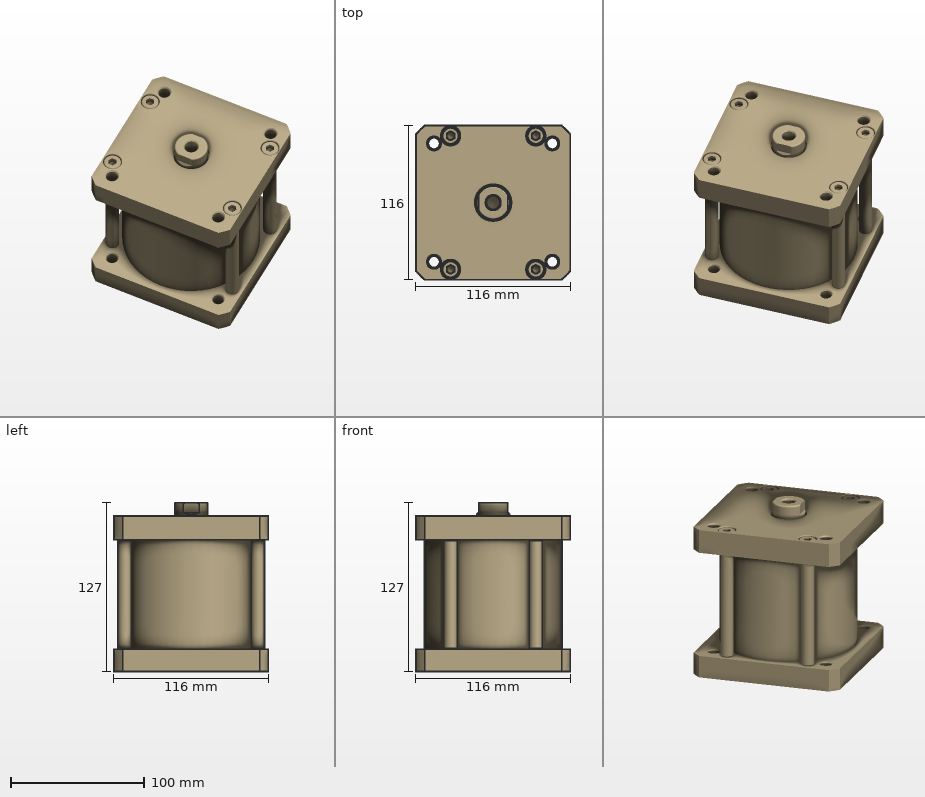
import cadquery as cq
import math

total_height = 127.0
top_plate_thickness = 18.0
bottom_plate_thickness = 17.0
rod_protrusion = 10.0
tube_bottom_z = bottom_plate_thickness
top_plate_top_z = total_height - rod_protrusion
tube_top_z = top_plate_top_z - top_plate_thickness
tube_length = tube_top_z - tube_bottom_z

plate_width = 116.0
plate_corner_diameter = 155.0

mounting_hole_offset = 44.5
bottom_hole_diameter = 8.5
bottom_hole_mouth_diameter = 10.0
top_hole_diameter = 8.9
top_hole_mouth_diameter = 10.7

tube_outer_diameter = 103.8
tube_bore_diameter = 100.0

rod_diameter = 25.0
rod_end_fillet = 1.3
rod_flat_width = 22.0
rod_flat_height = 7.5
rod_hole_diameter = 10.2
rod_hole_mouth_diameter = 11.7
rod_hole_depth = 20.0
rod_hole_point_angle = 160.0
rod_bore_diameter = 25.7
rod_recess_diameter = 26.9
rod_recess_mouth_diameter = 27.7
rod_recess_depth = 2.5

tie_rod_offset_x = 32.0
tie_rod_offset_y = 50.2
tie_rod_diameter = 10.0
tie_rod_end_chamfer = 0.6
shank_diameter = 8.4
stud_length = 10.2
head_diameter = 13.0
head_height = 8.0
head_chamfer = 0.5
head_recess = 0.5
counterbore_diameter = 14.0
counterbore_mouth_diameter = 14.7
socket_sides = 6
socket_width = 6.0
socket_depth = 4.0
socket_point_angle = 118.0
counterbore_depth = head_height + head_recess
head_seat_z = top_plate_top_z - counterbore_depth


mounting_hole_positions = [
    (x * mounting_hole_offset, y * mounting_hole_offset) for x in (-1, 1) for y in (-1, 1)
]
tie_rod_positions = [
    (x * tie_rod_offset_x, y * tie_rod_offset_y) for x in (-1, 1) for y in (-1, 1)
]


def cylinder(diameter, bottom_z, height):
    """Upright cylinder on the Z axis."""
    return cq.Workplane("XY").workplane(offset=bottom_z).circle(diameter / 2).extrude(height)


def cone(bottom_diameter, top_diameter, bottom_z, height):
    """Upright cone or truncated cone on the Z axis."""
    return cq.Workplane(cq.Solid.makeCone(
        bottom_diameter / 2, top_diameter / 2, height, pnt=cq.Vector(0, 0, bottom_z)
    ))


def mouth_chamfer(hole_diameter, mouth_diameter, top_z):
    """Cutter for a 45 degree chamfer that widens a hole up to the face at top_z."""
    height = (mouth_diameter - hole_diameter) / 2
    return cone(hole_diameter, mouth_diameter, top_z - height, height)


def end_plate(bottom_z, thickness, hole_diameter, mouth_diameter):
    """Square plate with turned corners and four chamfered mounting holes."""
    plate = cq.Workplane("XY").workplane(offset=bottom_z).rect(plate_width, plate_width).extrude(thickness)
    plate = plate.intersect(cylinder(plate_corner_diameter, bottom_z, thickness))
    hole = cylinder(hole_diameter, bottom_z, thickness).union(
        mouth_chamfer(hole_diameter, mouth_diameter, bottom_z + thickness)
    )
    for x, y in mounting_hole_positions:
        plate = plate.cut(hole.translate((x, y, 0)))
    return plate


def make_bottom_plate():
    """End plate with blind holes that take the tie rod studs."""
    plate = end_plate(0, bottom_plate_thickness, bottom_hole_diameter, bottom_hole_mouth_diameter)
    stud_hole = cylinder(shank_diameter, tube_bottom_z - stud_length, stud_length)
    for x, y in tie_rod_positions:
        plate = plate.cut(stud_hole.translate((x, y, 0)))
    return plate


def make_top_plate():
    """End plate with the recessed rod bore and counterbored tie rod holes."""
    plate = end_plate(tube_top_z, top_plate_thickness, top_hole_diameter, top_hole_mouth_diameter)
    plate = plate.cut(cylinder(rod_bore_diameter, tube_top_z, top_plate_thickness))
    plate = plate.cut(cylinder(rod_recess_diameter, top_plate_top_z - rod_recess_depth, rod_recess_depth))
    plate = plate.cut(mouth_chamfer(rod_recess_diameter, rod_recess_mouth_diameter, top_plate_top_z))
    counterbored_hole = cylinder(shank_diameter, tube_top_z, top_plate_thickness).union(
        cylinder(counterbore_diameter, head_seat_z, counterbore_depth)
    ).union(
        mouth_chamfer(counterbore_diameter, counterbore_mouth_diameter, top_plate_top_z)
    )
    for x, y in tie_rod_positions:
        plate = plate.cut(counterbored_hole.translate((x, y, 0)))
    return plate


def make_tube():
    """Plain tube clamped between the end plates."""
    return cylinder(tube_outer_diameter, tube_bottom_z, tube_length).cut(
        cylinder(tube_bore_diameter, tube_bottom_z, tube_length)
    )


def drilled_hole(diameter, top_z, depth, point_angle):
    """Cutter for a blind round hole with a conical drill point."""
    point_height = diameter / 2 / math.tan(math.radians(point_angle / 2))
    bottom_z = top_z - depth
    return cylinder(diameter, bottom_z, depth).union(cone(0, diameter, bottom_z - point_height, point_height))


def make_piston_rod():
    """Rod with a rounded end, a centre hole and two wrench flats that end in 45 degree slopes."""
    rod = cylinder(rod_diameter, tube_bottom_z, total_height - tube_bottom_z)
    rod = rod.faces(">Z").fillet(rod_end_fillet)
    rod = rod.cut(drilled_hole(rod_hole_diameter, total_height, rod_hole_depth, rod_hole_point_angle))
    rod = rod.cut(mouth_chamfer(rod_hole_diameter, rod_hole_mouth_diameter, total_height))

    flat_x = rod_flat_width / 2
    edge_x = rod_diameter / 2
    flat_bottom_z = total_height - rod_flat_height
    flat_cutter = (
        cq.Workplane("XZ")
        .moveTo(flat_x, total_height)
        .lineTo(flat_x, flat_bottom_z)
        .lineTo(edge_x, flat_bottom_z - (edge_x - flat_x))
        .lineTo(edge_x, total_height)
        .close()
        .extrude(edge_x, both=True)
    )
    return rod.cut(flat_cutter).cut(flat_cutter.mirror("YZ"))


def make_tie_rod(x, y):
    """Spacer bar with a stud below and a hexagon socket head on a shank above."""
    bar = cylinder(tie_rod_diameter, tube_bottom_z, tube_length).faces("<Z or >Z").chamfer(tie_rod_end_chamfer)
    stud = cylinder(shank_diameter, tube_bottom_z - stud_length, stud_length)
    shank = cylinder(shank_diameter, tube_top_z, head_seat_z - tube_top_z)
    head = cylinder(head_diameter, head_seat_z, head_height).faces(">Z").chamfer(head_chamfer)

    head_top_z = head_seat_z + head_height
    half_side_angle = 180 / socket_sides
    socket_corner_diameter = socket_width / math.cos(math.radians(half_side_angle))
    socket = (
        cq.Workplane("XY")
        .workplane(offset=head_top_z - socket_depth)
        .polygon(socket_sides, socket_corner_diameter)
        .extrude(socket_depth)
        .rotate((0, 0, 0), (0, 0, 1), half_side_angle)
    )
    socket = socket.union(drilled_hole(socket_width, head_top_z, socket_depth, socket_point_angle))
    return bar.union(stud).union(shank).union(head).cut(socket).translate((x, y, 0))


bottom_plate = make_bottom_plate()
top_plate = make_top_plate()
tube = make_tube()
piston_rod = make_piston_rod()
tie_rods = [make_tie_rod(x, y) for x, y in tie_rod_positions]

result = cq.Compound.makeCompound([
    bottom_plate.val(),
    top_plate.val(),
    tube.val(),
    piston_rod.val(),
    *[tie_rod.val() for tie_rod in tie_rods],
])